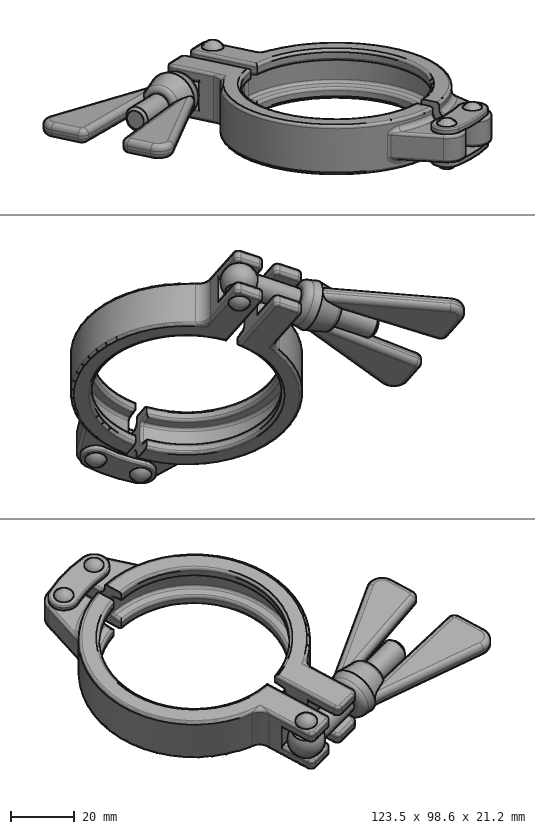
import cadquery as cq
import math

tolerance = 0.001

ring_radius = 36.5
bore_radius = 29.9
groove_radius = 33.8
half_height = 8.4
lip_height = 3.8
groove_mouth_z = half_height - lip_height
groove_taper = 8
groove_round = 1.0
gap_half = 2.0
edge_round = 1.0

bolt_x = -49.6
arm_end_x = -54.8
arm_outer_y = 12.0
arm_corner_round = 1.7
arm_root_round = 5.0
slot_half_height = 4.2
slot_end_x = -42.9
pin_y = 8.0
shank_diameter = 4.8
head_radius = 3.8
pin_head_height = 2.2

pivot_x = 45.0
pivot_y = 8.0
boss_radius = pivot_y - gap_half
boss_gap_start_x = 32.1
boss_flank_start_x = 27.8
boss_half_height = 4.7
boss_flank_angle = 20
boss_root_round = 1.7
link_half_width = 5.0
link_thickness = 1.9
link_edge_round = 0.5
upper_rivet_head_height = 1.6
lower_rivet_head_height = 2.2

bolt_diameter = 8.0
bolt_ball_radius = 6.0
bolt_tip_y = -40.3
bolt_tip_chamfer = 1.0

nut_start_y = -arm_outer_y
nut_shoulder_y = -14.6
nut_widest_y = -17.4
nut_taper_end_y = -26.1
nut_start_radius = 5.0
nut_shoulder_radius = 7.5
nut_widest_radius = 8.2
nut_taper_radius = 6.2
nut_end_round = 2.0
wing_thickness = 5.0
wing_edge_round = 2.0
wing_tip_y = -62.1
wing_tip_half_span = 25.2
wing_outer_round = 5.0
wing_inner_round = 2.5
wing_inner_root = 4.7
wing_inner_start_y = -24.1
wing_inner_tips = {-1: 5.9, 1: 7.3}


def groove_cutter():
    """Inner groove of the ring: tapered flanks and a flat floor with rounded corners."""
    floor_z = groove_mouth_z - (groove_radius - bore_radius) * math.tan(math.radians(groove_taper))
    profile = [(0, -groove_mouth_z), (bore_radius, -groove_mouth_z), (groove_radius, -floor_z)]
    profile += [(radius, -z) for radius, z in reversed(profile)]
    return (
        cq.Workplane("XZ")
        .polyline(profile)
        .close()
        .revolve(360, (0, 0, 0), (0, 1, 0))
        .edges(cq.selectors.RadiusNthSelector(-1))
        .fillet(groove_round)
    )


def box_between(x_range, y_range, half_z):
    """Box centred on the XY plane."""
    return (
        cq.Workplane("XY")
        .moveTo(x_range[0], y_range[0])
        .lineTo(x_range[1], y_range[0])
        .lineTo(x_range[1], y_range[1])
        .lineTo(x_range[0], y_range[1])
        .close()
        .extrude(half_z, both=True)
    )


def hinge_boss():
    """Flat boss from the ring to the pivot, with a flank tangent to its round end and a rounded rim."""
    flank = math.radians(boss_flank_angle)
    tangent_x = pivot_x + boss_radius * math.sin(flank)
    tangent_y = pivot_y + boss_radius * math.cos(flank)
    inner_y = tangent_y + (tangent_x - boss_flank_start_x) * math.tan(flank)
    return (
        cq.Workplane("XY")
        .moveTo(boss_gap_start_x, gap_half)
        .lineTo(pivot_x, gap_half)
        .threePointArc((pivot_x + boss_radius, pivot_y), (tangent_x, tangent_y))
        .lineTo(boss_flank_start_x, inner_y)
        .close()
        .extrude(boss_half_height, both=True)
        .faces(">Z or <Z")
        .edges()
        .filter(lambda edge: edge.Center().x > boss_gap_start_x)
        .fillet(edge_round)
    )


def is_boss_root(edge):
    """True for the edges where the boss meets the outer surface of the ring."""
    points = [edge.positionAt(t) for t in (0, 0.5, 1)]
    on_ring = all(abs(math.hypot(p.x, p.y) - ring_radius) < tolerance for p in points)
    return on_ring and points[1].y > tolerance and abs(points[1].z) < boss_half_height + tolerance


def ring_with_boss():
    """Full disc with the filleted hinge boss, trimmed at the gap."""
    disc = cq.Workplane("XY").circle(ring_radius).extrude(half_height, both=True)
    disc = disc.union(hinge_boss()).edges().filter(is_boss_root).fillet(boss_root_round)
    upper_side = box_between((-ring_radius, pivot_x + boss_radius), (gap_half, ring_radius), half_height)
    return disc.intersect(upper_side)


def ring_with_arm():
    """Half ring with boss and bolt arm, its rim rounded except at the hinge-side ring end."""
    bore = cq.Workplane("XY").circle(bore_radius).extrude(half_height, both=True)
    arm = box_between((arm_end_x, 0), (gap_half, arm_outer_y), half_height)
    arm = arm.edges("|Z and <X").fillet(arm_corner_round)
    half = ring_with_boss().union(arm).cut(bore)
    half = (
        half.faces(">Z or <Z")
        .edges()
        .filter(lambda edge: edge.geomType() == "CIRCLE" or edge.Center().x < 0)
        .fillet(edge_round)
    )
    return (
        half.edges("|Z")
        .filter(lambda edge: -ring_radius < edge.Center().x < 0 and edge.Center().y > pin_y)
        .fillet(arm_root_round)
    )


def vertical_hole(x, y):
    """Cutter for a pin or rivet hole."""
    return cq.Workplane("XY").center(x, y).circle(shank_diameter / 2).extrude(half_height, both=True)


def cut_bolt_slot(half):
    """Open slot through the arm for the eye bolt, with rounded edges."""
    slot = box_between((arm_end_x, slot_end_x), (0, arm_outer_y), slot_half_height)
    return (
        half.cut(slot)
        .edges()
        .filter(lambda edge: abs(abs(edge.Center().z) - slot_half_height) < tolerance)
        .filter(lambda edge: edge.Center().x < slot_end_x - tolerance)
        .fillet(edge_round)
    )


def is_groove_rim(edge):
    """True for the edges around the groove opening: at its mouth in the bore and on the gap face."""
    points = [edge.positionAt(t) for t in (0, 0.5, 1)]
    radii = [math.hypot(p.x, p.y) for p in points]
    at_mouth = all(
        abs(radius - bore_radius) < tolerance and abs(abs(p.z) - groove_mouth_z) < tolerance
        for radius, p in zip(radii, points)
    )
    on_gap_face = all(abs(p.y - gap_half) < tolerance for p in points)
    in_groove = max(radii) < groove_radius + tolerance and abs(points[1].z) < groove_mouth_z - tolerance
    on_wall = radii[1] > bore_radius + tolerance
    return at_mouth or (on_gap_face and in_groove and on_wall)


def clamp_half():
    """Clamp half on the +Y side, without the hole for the bolt pin."""
    half = cut_bolt_slot(ring_with_arm()).cut(groove_cutter())
    half = half.edges().filter(is_groove_rim).fillet(edge_round)
    return half.cut(vertical_hole(pivot_x, pivot_y))


def headed_pin(x, y, seat_z, upper_head_height, lower_head_height):
    """Cylindrical shank between two seats at +/- seat_z, with a spherical head on each."""
    pin = cq.Workplane("XY").center(x, y).circle(shank_diameter / 2).extrude(seat_z, both=True)
    for side, height in ((1, upper_head_height), (-1, lower_head_height)):
        ball_z = side * (seat_z + height - head_radius)
        seat_side = (
            cq.Workplane("XY", origin=(x, y, side * seat_z))
            .rect(4 * head_radius, 4 * head_radius)
            .extrude(side * height)
        )
        pin = pin.union(cq.Workplane("XY", origin=(x, y, ball_z)).sphere(head_radius).intersect(seat_side))
    return pin


def hinge_link(side):
    """Curved link plate concentric with the ring; side is +1 for the upper one and -1 for the lower one."""
    middle_radius = math.hypot(pivot_x, pivot_y)
    inner = 1 - link_half_width / middle_radius
    outer = 1 + link_half_width / middle_radius
    tip_x = pivot_x - link_half_width * pivot_y / middle_radius
    tip_y = pivot_y + link_half_width * pivot_x / middle_radius
    plate = (
        cq.Workplane("XY", origin=(0, 0, side * boss_half_height))
        .moveTo(pivot_x * inner, -pivot_y * inner)
        .threePointArc((middle_radius * inner, 0), (pivot_x * inner, pivot_y * inner))
        .threePointArc((tip_x, tip_y), (pivot_x * outer, pivot_y * outer))
        .threePointArc((middle_radius * outer, 0), (pivot_x * outer, -pivot_y * outer))
        .threePointArc((tip_x, -tip_y), (pivot_x * inner, -pivot_y * inner))
        .close()
        .extrude(side * link_thickness)
        .faces(">Z" if side > 0 else "<Z")
        .edges()
        .fillet(link_edge_round)
    )
    return plate.cut(vertical_hole(pivot_x, pivot_y)).cut(vertical_hole(pivot_x, -pivot_y))


def bolt_shaft(start_y, end_y):
    """Cylinder of the bolt diameter along the bolt axis."""
    return (
        cq.Workplane("XZ", origin=(bolt_x, start_y, 0))
        .circle(bolt_diameter / 2)
        .extrude(start_y - end_y)
    )


def eye_bolt():
    """Bolt with a ball-shaped eye, flattened above and below to fit the arm slot."""
    ball = cq.Workplane("XY", origin=(bolt_x, pin_y, 0)).sphere(bolt_ball_radius)
    eye_band = box_between(
        (bolt_x - bolt_ball_radius, bolt_x + bolt_ball_radius),
        (pin_y - bolt_ball_radius, pin_y + bolt_ball_radius),
        bolt_diameter / 2,
    )
    shaft = bolt_shaft(pin_y, bolt_tip_y).faces("<Y").chamfer(bolt_tip_chamfer)
    return ball.intersect(eye_band).union(shaft).cut(vertical_hole(bolt_x, pin_y))


def nut_body():
    """Turned body of the wing nut: domed seat end, then a taper with a rounded end."""
    return (
        cq.Workplane("XY")
        .moveTo(0, nut_start_y)
        .lineTo(nut_start_radius, nut_start_y)
        .tangentArcPoint((nut_shoulder_radius, nut_shoulder_y), relative=False)
        .lineTo(nut_widest_radius, nut_widest_y)
        .lineTo(nut_taper_radius, nut_taper_end_y)
        .lineTo(0, nut_taper_end_y)
        .close()
        .revolve(360, (0, 0, 0), (0, 1, 0))
        .faces("<Y")
        .edges()
        .fillet(nut_end_round)
        .translate((bolt_x, 0, 0))
    )


def wing(side):
    """One wing of the nut with rounded free edges; side is -1 toward -X and +1 toward +X."""
    inner_tip_x = wing_inner_tips[side]
    blank = (
        cq.Workplane("XY")
        .moveTo(nut_widest_radius, nut_widest_y)
        .lineTo(wing_tip_half_span, wing_tip_y)
        .lineTo(inner_tip_x, wing_tip_y)
        .lineTo(wing_inner_root, wing_inner_start_y)
        .close()
        .extrude(wing_thickness / 2, both=True)
    )
    outer_corner = cq.selectors.NearestToPointSelector((wing_tip_half_span, wing_tip_y, 0))
    inner_corner = cq.selectors.NearestToPointSelector((inner_tip_x, wing_tip_y, 0))
    blank = blank.edges("|Z").edges(outer_corner).fillet(wing_outer_round)
    blank = blank.edges("|Z").edges(inner_corner).fillet(wing_inner_round)
    blank = (
        blank.faces(">Z or <Z")
        .edges()
        .filter(lambda edge: edge.Center().y < wing_inner_start_y)
        .fillet(wing_edge_round)
    )
    if side < 0:
        blank = blank.mirror("YZ")
    return blank.translate((bolt_x, 0, 0))


def wing_nut():
    """Nut body with its two wings, bored for the bolt."""
    nut = nut_body()
    for side in (-1, 1):
        nut = nut.union(wing(side))
    return nut.cut(bolt_shaft(nut_start_y, wing_tip_y))


plain_half = clamp_half()
pinned_half = plain_half.cut(vertical_hole(bolt_x, pin_y))
slotted_half = plain_half.mirror("XZ")
bolt = eye_bolt()
bolt_pin = headed_pin(bolt_x, pin_y, half_height, pin_head_height, pin_head_height)
nut = wing_nut()
links = [hinge_link(side) for side in (1, -1)]
rivets = [
    headed_pin(
        pivot_x,
        side * pivot_y,
        boss_half_height + link_thickness,
        upper_rivet_head_height,
        lower_rivet_head_height,
    )
    for side in (1, -1)
]

bodies = [pinned_half, slotted_half, bolt, bolt_pin, nut, *links, *rivets]
result = cq.Compound.makeCompound([body.solids().val() for body in bodies])